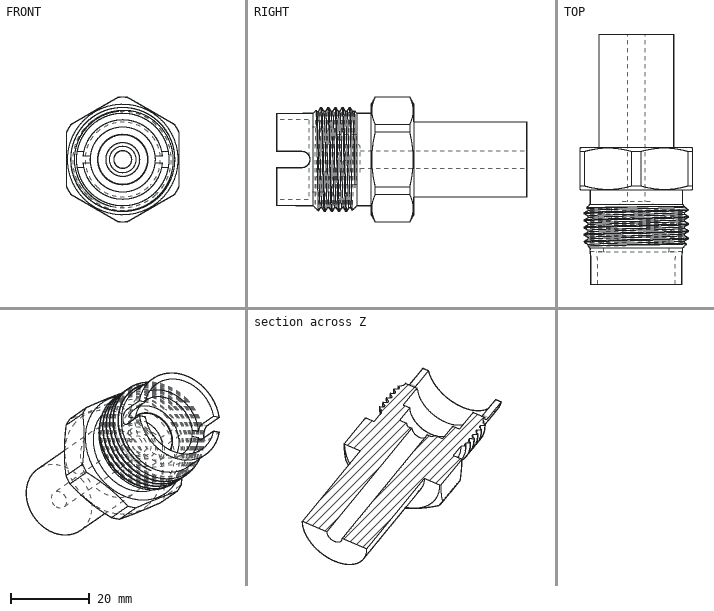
import cadquery as cq
import math

total_length = 63.5
thread_start = 9.3
thread_end = 20.4
nut_start = 24.0
nut_length = 10.8
nut_end = nut_start + nut_length

tube_diameter = 19.05
sleeve_radius = 11.75

across_flats = 28.6
corner_diameter = 31.75
nut_face_diameter = 28.05
nut_chamfer_length = 1.0

crest_radius = 13.2
root_radius = 12.25
groove_turns = 7
groove_length = 12.7
pitch = groove_length / groove_turns
root_flat = 0.45
flank_angle = 30.0
groove_station = 8.1
groove_overcut = 0.2

socket_radius = 10.1
socket_depth = 8.25
counterbore_radius = 8.25
counterbore_depth = 15.25
inner_bore_radius = 6.3
inner_bore_depth = 20.3
bore_edge_chamfer = 0.1
countersink_radius = 4.2
countersink_floor_radius = 3.35
countersink_depth = 0.8
passage_radius = 2.2

slot_width = 4.05
slot_depth = 8.45
slot_cutter_overreach = 0.65


def revolve_about_y(points):
    """Solid of revolution from a closed outline of (radius, Y) points."""
    return cq.Workplane("XY").polyline(points).close().revolve(360, (0, 0, 0), (0, 1, 0))


def make_nut():
    """Hexagon with flats facing +X and -X, its corners turned round and chamfered."""
    corner_radius = corner_diameter / 2
    face_radius = nut_face_diameter / 2
    hexagon = (
        cq.Workplane("XZ", origin=(0, nut_start, 0))
        .transformed(rotate=(0, 0, 30))
        .polygon(6, across_flats / math.cos(math.radians(30)))
        .extrude(-nut_length)
    )
    turned_envelope = revolve_about_y([
        (0, nut_start),
        (face_radius, nut_start),
        (corner_radius, nut_start + nut_chamfer_length),
        (corner_radius, nut_end - nut_chamfer_length),
        (face_radius, nut_end),
        (0, nut_end),
    ])
    return hexagon.intersect(turned_envelope)


def make_thread():
    """Right-hand thread on a bar, trimmed to a collar with 45 degree ends."""
    thread_height = crest_radius - sleeve_radius
    collar = revolve_about_y([
        (0, thread_start),
        (sleeve_radius, thread_start),
        (crest_radius, thread_start + thread_height),
        (crest_radius, thread_end - thread_height),
        (sleeve_radius, thread_end),
        (0, thread_end),
    ])

    outer_radius = crest_radius + groove_overcut
    half_root = root_flat / 2
    half_mouth = half_root + (outer_radius - root_radius) * math.tan(math.radians(flank_angle))
    helix = cq.Workplane(cq.Wire.makeHelix(pitch, groove_length, root_radius))
    groove = (
        cq.Workplane("XZ")
        .polyline([
            (root_radius, -half_root),
            (outer_radius, -half_mouth),
            (outer_radius, half_mouth),
            (root_radius, half_root),
        ])
        .close()
        .sweep(helix, isFrenet=True)
        .rotate((0, 0, 0), (0, 0, 1), 180)
        .rotate((0, 0, 0), (1, 0, 0), -90)
        .translate((0, groove_station, 0))
    )
    threaded_bar = cq.Workplane("XZ").circle(crest_radius).extrude(-nut_end).cut(groove)
    return threaded_bar.intersect(collar)


def make_bore():
    """Stepped bore that narrows from the open end to a passage through the tube."""
    countersink_floor = inner_bore_depth + countersink_depth
    return revolve_about_y([
        (0, 0),
        (socket_radius, 0),
        (socket_radius, socket_depth),
        (counterbore_radius, socket_depth),
        (counterbore_radius, counterbore_depth),
        (inner_bore_radius + bore_edge_chamfer, counterbore_depth),
        (inner_bore_radius, counterbore_depth + bore_edge_chamfer),
        (inner_bore_radius, inner_bore_depth),
        (countersink_radius + bore_edge_chamfer, inner_bore_depth),
        (countersink_radius, inner_bore_depth + bore_edge_chamfer),
        (countersink_floor_radius, countersink_floor),
        (passage_radius, countersink_floor),
        (passage_radius, total_length),
        (0, total_length),
    ])


def make_slots():
    """Round-ended cutter along X that opens both sides of the socket wall."""
    half_width = slot_width / 2
    straight_depth = slot_depth - half_width
    return (
        cq.Workplane("YZ")
        .moveTo(0, -half_width)
        .lineTo(straight_depth, -half_width)
        .threePointArc((slot_depth, 0), (straight_depth, half_width))
        .lineTo(0, half_width)
        .close()
        .extrude(sleeve_radius + slot_cutter_overreach, both=True)
    )


sleeve = cq.Workplane("XZ").circle(sleeve_radius).extrude(-nut_end)
tube = cq.Workplane("XZ").circle(tube_diameter / 2).extrude(-total_length)

body = sleeve.union(tube).union(make_nut()).union(make_thread())
result = body.cut(make_bore()).cut(make_slots())